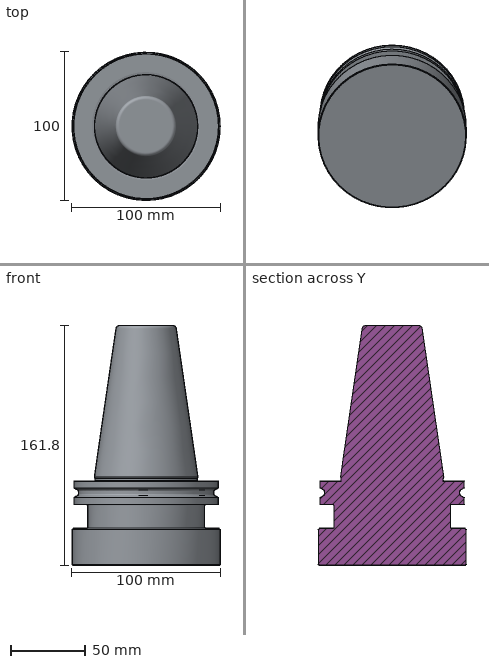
import cadquery as cq
import math

collar_height = 25.0
gauge_height = 60.0
taper_length = 101.75
total_height = gauge_height + taper_length

collar_radius = 50.0
collar_top_chamfer = 1.0
collar_bottom_chamfer = 0.5

neck_radius = 39.5
neck_fillet = 0.7

flange_radius = 97.5 / 2
flange_top = gauge_height - 3.2
flange_bottom = gauge_height - 19.1
groove_center = gauge_height - 11.1
groove_depth = 3.1
groove_mouth = 6.5
groove_angle = 60.0
groove_fillet = 1.0
groove_radius = flange_radius - groove_depth
groove_half_mouth = groove_mouth / 2
groove_half_floor = groove_half_mouth - groove_depth * math.tan(math.radians(groove_angle / 2))

gauge_radius = 69.85 / 2
taper_slope = 7.0 / 24.0 / 2
tip_radius = gauge_radius - taper_length * taper_slope
tip_fillet = 2.5

rim_bottom = gauge_height - 0.5
root_top = gauge_height - 1.6
root_radius = gauge_radius - 0.4
root_fillet = 0.5
face_relief_radius = 36.4
face_relief_floor = flange_top - 0.3

match_tolerance = 0.001


def make_sharp_body():
    """Revolve the half outline of the holder about the Z axis."""
    outline = (
        cq.Workplane("XZ")
        .lineTo(collar_radius - collar_bottom_chamfer, 0)
        .lineTo(collar_radius, collar_bottom_chamfer)
        .lineTo(collar_radius, collar_height - collar_top_chamfer)
        .lineTo(collar_radius - collar_top_chamfer, collar_height)
        .lineTo(neck_radius, collar_height)
        .lineTo(neck_radius, flange_bottom)
        .lineTo(flange_radius, flange_bottom)
        .lineTo(flange_radius, groove_center - groove_half_mouth)
        .lineTo(groove_radius, groove_center - groove_half_floor)
        .lineTo(groove_radius, groove_center + groove_half_floor)
        .lineTo(flange_radius, groove_center + groove_half_mouth)
        .lineTo(flange_radius, flange_top)
        .lineTo(face_relief_radius, flange_top)
        .lineTo(root_radius, face_relief_floor)
        .lineTo(root_radius, root_top)
        .lineTo(gauge_radius, rim_bottom)
        .lineTo(gauge_radius, gauge_height)
        .lineTo(tip_radius, total_height)
        .lineTo(0, total_height)
        .close()
    )
    return outline.revolve(360, (0, 0, 0), (0, 1, 0))


def fillet_ring(body, ring_radius, height, fillet_radius):
    """Round the circular edge that has the given radius and height."""
    matching = []
    for edge in body.edges("%CIRCLE").vals():
        same_height = abs(edge.Center().z - height) < match_tolerance
        same_radius = abs(edge.radius() - ring_radius) < match_tolerance
        if same_height and same_radius:
            matching.append(edge)
    return body.newObject(matching).fillet(fillet_radius)


def round_edges(body):
    """Round the tip, the relief root, the groove floor and both neck corners."""
    body = fillet_ring(body, tip_radius, total_height, tip_fillet)
    body = fillet_ring(body, root_radius, face_relief_floor, root_fillet)
    for side in (-1, 1):
        groove_corner = groove_center + side * groove_half_floor
        body = fillet_ring(body, groove_radius, groove_corner, groove_fillet)
    for neck_end in (collar_height, flange_bottom):
        body = fillet_ring(body, neck_radius, neck_end, neck_fillet)
    return body


result = round_edges(make_sharp_body())